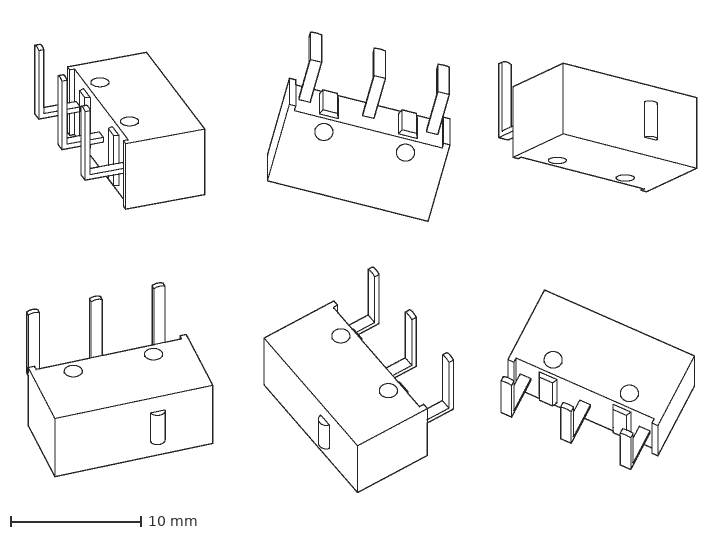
import cadquery as cq
import math

length = 12.8
depth = 6.5
height = 5.8

recess_depth = 0.4
end_rib_width = 0.51

hole_diameter = 1.4
hole_offset = 3.25
hole_setback = 1.5

boss_offset = 3.15
boss_base_width = 1.52
boss_tip_width = 1.13
boss_height = 4.43

terminal_pitch = 5.08
terminal_width = 0.91
terminal_thickness = 0.42
terminal_reach = 3.01
terminal_bottom = 2.7
terminal_top = 8.9
tip_rise = 0.13

plunger_x = -1.95
plunger_radius = 0.6
plunger_protrusion = 0.49
plunger_height = 2.9


def make_block():
    """Block with the open front recess and the two mounting holes."""
    block = cq.Workplane("XY").box(length, depth, height, centered=(True, False, False))
    recess = cq.Workplane("XY").box(
        length - 2 * end_rib_width, recess_depth, height, centered=(True, False, False)
    )
    holes = (
        cq.Workplane("XY")
        .pushPoints([(-hole_offset, hole_setback), (hole_offset, hole_setback)])
        .circle(hole_diameter / 2)
        .extrude(height)
    )
    return block.cut(recess).cut(holes)


def make_boss(x):
    """Upright boss that narrows from the recess floor to the rim."""
    return (
        cq.Workplane("XY", origin=(x, 0, (height - boss_height) / 2))
        .moveTo(-boss_base_width / 2, recess_depth)
        .lineTo(-boss_tip_width / 2, 0)
        .lineTo(boss_tip_width / 2, 0)
        .lineTo(boss_base_width / 2, recess_depth)
        .close()
        .extrude(boss_height)
    )


def make_terminal(x):
    """Arm out from the recess floor, then an upright leg with an arched tip."""
    arm = cq.Workplane("XY", origin=(x, -terminal_reach, terminal_bottom)).box(
        terminal_width,
        terminal_reach + recess_depth,
        terminal_thickness,
        centered=(True, False, False),
    )
    half_width = terminal_width / 2
    shoulder = terminal_top - tip_rise
    leg = (
        cq.Workplane("XZ", origin=(x, -terminal_reach, 0))
        .moveTo(-half_width, terminal_bottom)
        .lineTo(half_width, terminal_bottom)
        .lineTo(half_width, shoulder)
        .threePointArc((0, terminal_top), (-half_width, shoulder))
        .close()
        .extrude(-terminal_thickness)
    )
    return arm.union(leg)


def make_housing():
    """Block with its bosses and terminals as a single solid."""
    housing = make_block()
    for x in (-boss_offset, boss_offset):
        housing = housing.union(make_boss(x))
    for x in (-terminal_pitch, 0, terminal_pitch):
        housing = housing.union(make_terminal(x))
    return housing


def make_plunger():
    """Bar with a rounded nose, its flat side resting on the back face."""
    center_inset = plunger_radius - plunger_protrusion
    half_chord = math.sqrt(plunger_radius**2 - center_inset**2)
    return (
        cq.Workplane("XY", origin=(plunger_x, depth, (height - plunger_height) / 2))
        .moveTo(-half_chord, 0)
        .threePointArc((0, plunger_protrusion), (half_chord, 0))
        .close()
        .extrude(plunger_height)
    )


housing = make_housing()
plunger = make_plunger()
result = cq.Compound.makeCompound([housing.solids().val(), plunger.val()])